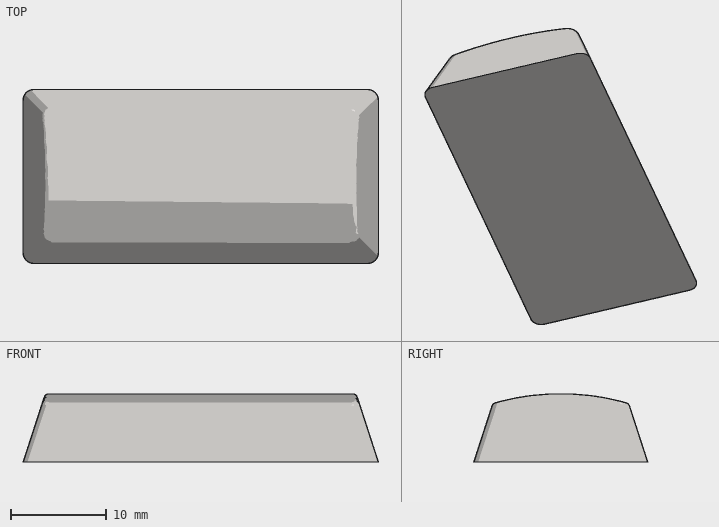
import cadquery as cq

length = 37.35
width = 18.3
height = 7.2

wall_draft = 18.0
corner_radius = 1.25

crown_radius = 25.02
top_edge_radius = 0.55


def tapered_block():
    """Rectangular block with leaning walls and rounded corner edges."""
    block = cq.Workplane("XY").rect(length, width).extrude(height, taper=wall_draft)
    leaning_edges = "not(|X or |Y)"
    return block.edges(leaning_edges).fillet(corner_radius)


def crown_cylinder():
    """Cylinder along X whose upper surface forms the curved top."""
    return (
        cq.Workplane("YZ", origin=(-length / 2, 0, 0))
        .center(0, height - crown_radius)
        .circle(crown_radius)
        .extrude(length)
    )


crowned_block = tapered_block().intersect(crown_cylinder())
top_face = crowned_block.faces("%CYLINDER").faces(">Z")
result = top_face.edges().fillet(top_edge_radius)